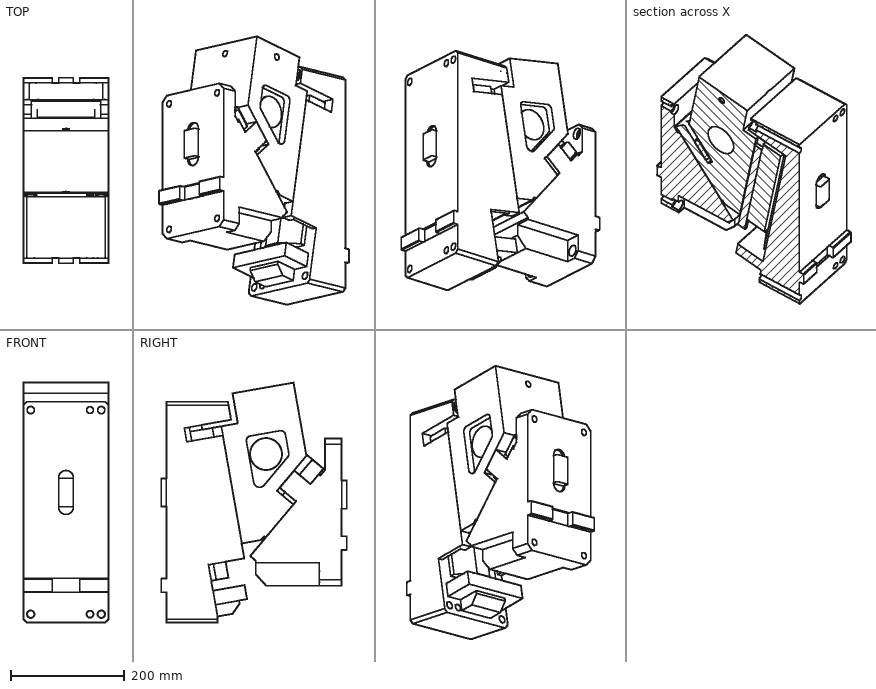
import cadquery as cq
import math


half_width = 75.0
cutter_length = 423.7

front_height = 390.0
front_chamfer = 6.0
front_tilt = math.radians(10)
seat_corner_y = 31.8
seat_corner_z = 343.2
overhang = 84.0
lug_depth = 64.5
front_rail_half = 65.5
front_neck_half = 55.0
front_lip = 15.5
front_lug_top = 24.5
front_lug_bottom = 245.0
hump_bottom = 273.7
hump_base = 9.0
hump_depth = 31.0
hump_base_half = 50.5
hump_top_half = 15.0
tab_top = 291.0
tab_bottom = 316.5
tab_depth = 56.8
tab_half = 63.5
tab_rib_depth = 42.5
tab_rib_bottom = 337.7
tab_rib_chamfer = 15.5
tab_rib_half = 34.0

rear_bottom = 65.0
rear_top = 325.0
rear_chamfer = 10.5
back_y = 309.5
shelf_y = 279.5
slope_top_z = 274.5
slope_angle = math.radians(40)
slope_length = 205.0
slope_nose = 13.0
nose_y = 157.5
nose_chamfer_y = 18.5
nose_chamfer_z = 20.5
relief_width = 8.5
relief_depth = 3.5
rear_lug_top = 39.5
rear_lug_bottom = 79.2
rear_lug_height = 37.5
rear_rail_half = 61.0
rear_neck_half = 50.5
rear_lip = 12.0
foot_y = 270.0
foot_height = 40.5
foot_core_half = 45.0

mid_top = -45.8
mid_bottom = 218.2
mid_front = 94.0
mid_back = 204.0
mid_ledge = 8.0
mid_clearance = 0.5
rear_rail_start = 4.0
rear_rail_radius = 5.0
shoulder_at = 86.5
pad_end = 162.7
pad_step = 3.5
bore_y = 176.0
bore_z = 297.5
bore_radius = 28.0
pocket_depth = 14.0
pocket_back = 173.7
pocket_front = 104.0
pocket_top = 34.0
pocket_slope_height = 61.5
pocket_corner_radius = 8.5
pocket_tip_radius = 10.5
pin_hole_u = 149.0
pin_hole_v = -26.3
pin_hole_radius = 5.5
pin_hole_depth = 17.0
drill_tip_depth = 3.5
flute_width = 13.5
flute_depth = 1.3

mount_proud = 9.5
mount_rail_length = 51.0
mount_rail_height = 25.0
mount_rail_chamfer = 1.3
groove_depth = 4.2
key_width = 26.3
key_height = 50.0
key_edge_radius = 2.0
key_slot_length = 77.5
key_slot_depth = 4.2
front_rail_z = 65.5
front_key_z = 229.5
rear_rail_z = 140.3
rear_key_z = 226.0

screw_x = 62.5
screw_radius = 6.5
locator_x = 42.5
locator_radius = 6.0
counterbore_radius = 10.5
front_screw_inset = 15.0
front_counterbore_y = 97.5
rear_screw_x = 59.0
rear_screw_inset = 16.0
rear_screw_radius = 5.5
rear_counterbore_radius = 9.7
rear_counterbore_depth = 7.0
foot_counterbore_depth = 15.0


def on_seat(u, v):
    """(Y, Z) of a point u behind the front block's tilted seat and v down along it."""
    c = math.cos(front_tilt)
    s = math.sin(front_tilt)
    return (seat_corner_y + u * c + v * s, seat_corner_z + u * s - v * c)


def on_slope(s, n):
    """(Y, Z) of a point s down the rear block's slope and n outward from it."""
    ca = math.cos(slope_angle)
    sa = math.sin(slope_angle)
    return (shelf_y - s * sa - n * ca, slope_top_z - s * ca + n * sa)


def crossing(first, second):
    """Point where two lines meet, each line given by two (Y, Z) points."""
    (ay, az), (by, bz) = first
    (cy, cz), (dy, dz) = second
    fraction = (((cy - ay) * (dz - cz) - (cz - az) * (dy - cy))
                / ((by - ay) * (dz - cz) - (bz - az) * (dy - cy)))
    return (ay + fraction * (by - ay), az + fraction * (bz - az))


def slope_line(n):
    """Line parallel to the slope at height n."""
    return (on_slope(0, n), on_slope(4.2, n))


def seat_line_at_u(u):
    """Line parallel to the seat at distance u behind it."""
    return (on_seat(u, 0), on_seat(u, 4.2))


def seat_line_at_v(v):
    """Line square to the seat at distance v down it."""
    return (on_seat(0, v), on_seat(4.2, v))


def prism(points, x_low, x_high):
    """Extrude a (Y, Z) outline between two X positions."""
    return cq.Workplane("YZ").workplane(offset=x_low).polyline(points).close().extrude(x_high - x_low)


def slab(frame, low, high, x_low, x_high):
    """Rectangular bar given by two opposite corners in one of the tilted frames."""
    corners = [low, (high[0], low[1]), high, (low[0], high[1])]
    return prism([frame(*corner) for corner in corners], x_low, x_high)


def central_bar(frame, low, high, half):
    """Bar centred on X = 0 with the given half width."""
    return slab(frame, low, high, -half, half)


def side_bars(frame, low, high, inner_half):
    """Mirrored pair of bars reaching from inner_half to both outer sides."""
    left = slab(frame, low, high, -half_width, -inner_half)
    return left.union(slab(frame, low, high, inner_half, half_width))


def y_cylinder(x, z, radius, y_low, y_high):
    """Round cutter along Y."""
    return cq.Workplane("XZ", origin=(x, y_low, z)).circle(radius).extrude(y_low - y_high)


def end_chamfer_envelope(bottom, top, chamfer):
    """Full-width block with the four edges along Y chamfered."""
    height = top - bottom
    block = cq.Workplane("XY").box(2 * half_width, 2 * cutter_length, height)
    return block.edges("|Y").chamfer(chamfer).translate((0, 0, (top + bottom) / 2))


def add_mounting_face(body, rail_z, key_z):
    """Put two side rails, a groove between them and a key in a round-ended slot on the face Y = 0."""
    gap = 2 * (half_width - mount_rail_length)
    groove = cq.Workplane("XY").box(gap, 2 * groove_depth, mount_rail_height).translate((0, 0, rail_z))
    slot = (cq.Workplane("XZ", origin=(0, key_slot_depth, key_z))
            .slot2D(key_slot_length, key_width, 90).extrude(key_slot_depth))
    body = body.cut(groove).cut(slot)

    rail = (cq.Workplane("XY").box(mount_rail_length, mount_proud, mount_rail_height)
            .faces("<Y").edges("|X").chamfer(mount_rail_chamfer))
    rail_x = half_width - mount_rail_length / 2
    for x in (-rail_x, rail_x):
        body = body.union(rail.translate((x, -mount_proud / 2, rail_z)))

    key_length = mount_proud + key_slot_depth
    key = (cq.Workplane("XY").box(key_width, key_length, key_height)
           .faces("<Y").edges("|Z").fillet(key_edge_radius))
    return body.union(key.translate((0, key_length / 2 - mount_proud, key_z)))


def front_hump():
    """Central guide on the seat: straight base, then sloping sides."""
    section = [(-hump_base_half, 0), (hump_base_half, 0), (hump_base_half, hump_base),
               (hump_top_half, hump_depth), (-hump_top_half, hump_depth), (-hump_base_half, hump_base)]
    top_y, top_z = on_seat(0, 0)
    up_seat = (0, -math.sin(front_tilt), math.cos(front_tilt))
    plane = cq.Plane(origin=(0, top_y, top_z), xDir=(1, 0, 0), normal=up_seat)
    return cq.Workplane(plane).polyline(section).close().extrude(-hump_bottom)


def make_front_block():
    v_at_top = (seat_corner_z + overhang * math.sin(front_tilt) - front_height) / math.cos(front_tilt)
    seat_end = on_seat(0, tab_rib_bottom)
    body = prism([(0, 0), (0, front_height), on_seat(overhang, v_at_top), on_seat(overhang, 0),
                  on_seat(0, 0), seat_end, (seat_end[0], 0)], -half_width, half_width)

    lug_low = (0, front_lug_top)
    lug_high = (lug_depth, front_lug_bottom)
    lip_low = (lug_depth - front_lip, front_lug_top)
    body = body.union(side_bars(on_seat, lug_low, lug_high, front_rail_half))
    body = body.union(side_bars(on_seat, lip_low, lug_high, front_neck_half))
    body = body.union(front_hump())

    body = body.union(central_bar(on_seat, (0, tab_top), (tab_depth, tab_bottom), tab_half))
    rib = [(0, tab_bottom), (tab_rib_depth, tab_bottom), (tab_rib_depth, tab_rib_bottom - tab_rib_chamfer),
           (tab_rib_depth - tab_rib_chamfer, tab_rib_bottom), (0, tab_rib_bottom)]
    body = body.union(prism([on_seat(*point) for point in rib], -tab_rib_half, tab_rib_half))
    body = body.intersect(end_chamfer_envelope(0, front_height, front_chamfer))

    top_screw_z = front_height - front_screw_inset
    for z in (front_screw_inset, top_screw_z):
        for x in (-screw_x, screw_x):
            body = body.cut(y_cylinder(x, z, screw_radius, 0, cutter_length))
        body = body.cut(y_cylinder(locator_x, z, locator_radius, 0, cutter_length))
    for x in (-screw_x, screw_x):
        body = body.cut(y_cylinder(x, top_screw_z, counterbore_radius, front_counterbore_y, cutter_length))
    return add_mounting_face(body, front_rail_z, front_key_z)


def make_rear_block():
    nose_top = on_slope(slope_length, 0)
    nose_under = (nose_y, on_slope(slope_length, -slope_nose)[1])
    body = prism([(back_y, rear_bottom), (back_y, rear_top), (shelf_y, rear_top), on_slope(0, 0),
                  nose_top, nose_under, (nose_y, rear_bottom + nose_chamfer_z),
                  (nose_y + nose_chamfer_y, rear_bottom)], -half_width, half_width)

    drop = relief_depth / math.sin(slope_angle)
    inner_y = shelf_y - relief_width
    inner_z = slope_top_z - relief_width / math.tan(slope_angle)
    relief = [(shelf_y, slope_top_z), (shelf_y, slope_top_z - drop), (inner_y, inner_z - drop),
              (inner_y, inner_z)]
    body = body.cut(prism(relief, -half_width, half_width))

    lug_low = (rear_lug_top, 0)
    lug_high = (rear_lug_bottom, rear_lug_height)
    lip_low = (rear_lug_top, rear_lug_height - rear_lip)
    body = body.union(side_bars(on_slope, lug_low, lug_high, rear_rail_half))
    body = body.union(side_bars(on_slope, lip_low, lug_high, rear_neck_half))
    body = body.intersect(end_chamfer_envelope(rear_bottom, rear_top, rear_chamfer))

    recess = [(foot_y, rear_bottom), (foot_y, rear_bottom + foot_height),
              (0, rear_bottom + foot_height), (0, rear_bottom)]
    for side in (-1, 1):
        x_low, x_high = sorted((side * foot_core_half, side * half_width))
        body = body.cut(prism(recess, x_low, x_high))

    top_z = rear_top - rear_screw_inset
    bottom_z = rear_bottom + rear_screw_inset
    for x in (-rear_screw_x, rear_screw_x):
        for z, face_y, depth in ((top_z, shelf_y, rear_counterbore_depth),
                                 (bottom_z, foot_y, foot_counterbore_depth)):
            body = body.cut(y_cylinder(x, z, rear_screw_radius, face_y, back_y))
            body = body.cut(y_cylinder(x, z, rear_counterbore_radius, face_y, face_y + depth))

    turned = body.rotate((0, 0, 0), (0, 0, 1), 180).translate((0, back_y, 0))
    turned = add_mounting_face(turned, rear_rail_z, rear_key_z)
    return turned.translate((0, -back_y, 0)).rotate((0, 0, 0), (0, 0, 1), 180)


def side_pocket():
    """Four-sided rounded pocket around the bore, open at the -X side."""
    tip = crossing(seat_line_at_u(pocket_front), slope_line(pocket_slope_height))
    back_corner = crossing(seat_line_at_u(pocket_back), slope_line(pocket_slope_height))
    outline = [on_seat(pocket_back, pocket_top), on_seat(pocket_front, pocket_top), tip, back_corner]
    pocket = prism(outline, -half_width, -half_width + pocket_depth)
    pocket = pocket.edges("|X").edges("<Z").fillet(pocket_tip_radius)
    for corner in (outline[0], outline[1], back_corner):
        nearest = cq.selectors.NearestToPointSelector((-half_width + pocket_depth / 2, *corner))
        pocket = pocket.edges("|X").edges(nearest).fillet(pocket_corner_radius)
    return pocket


def pin_hole(mouth, inward, x_direction):
    """Blind hole with a conical tip; inward is its drilling direction."""
    section = [(0, 0), (pin_hole_radius, 0), (pin_hole_radius, pin_hole_depth),
               (0, pin_hole_depth + drill_tip_depth)]
    normal = cq.Vector(*x_direction).cross(cq.Vector(*inward))
    plane = cq.Plane(origin=mouth, xDir=x_direction, normal=normal)
    return cq.Workplane(plane).polyline(section).close().revolve(360, (0, 0), (0, 1))


def front_flute():
    """Shallow round groove down the upper front face; its axis lies in front of the face."""
    radius = (flute_width ** 2 / 4 + flute_depth ** 2) / (2 * flute_depth)
    axis_y, axis_z = on_seat(mid_front + flute_depth - radius, mid_top)
    down_seat = (0, math.sin(front_tilt), -math.cos(front_tilt))
    plane = cq.Plane(origin=(0, axis_y, axis_z), xDir=(1, 0, 0), normal=down_seat)
    return cq.Workplane(plane).circle(radius).extrude(mid_ledge - mid_top)


def make_middle_body():
    face_u = lug_depth + mid_clearance
    face_n = rear_lug_height + mid_clearance
    body = prism([on_seat(mid_back, mid_top), on_seat(mid_front, mid_top), on_seat(mid_front, mid_ledge),
                  on_seat(face_u, mid_ledge), on_seat(face_u, mid_bottom),
                  crossing(seat_line_at_v(mid_bottom), slope_line(pad_step)),
                  on_slope(pad_end, pad_step), on_slope(pad_end, 0), on_slope(shoulder_at, 0),
                  on_slope(shoulder_at, face_n),
                  crossing(seat_line_at_u(mid_back), slope_line(face_n))], -half_width, half_width)

    neck_u = lug_depth - front_lip
    body = body.union(central_bar(on_seat, (hump_base, mid_ledge), (neck_u, mid_bottom), front_rail_half))
    body = body.union(central_bar(on_seat, (neck_u, mid_ledge), (face_u, mid_bottom), front_neck_half))
    body = body.cut(front_hump())

    neck_n = rear_lug_height - rear_lip
    head = central_bar(on_slope, (rear_rail_start, 0), (shoulder_at, neck_n), rear_rail_half)
    body = body.union(head.edges("|X").edges(">Z").fillet(rear_rail_radius))
    body = body.union(central_bar(on_slope, (rear_rail_start, 0), (shoulder_at, face_n), rear_neck_half))

    bore = (cq.Workplane("YZ", origin=(-half_width, bore_y, bore_z))
            .circle(bore_radius).extrude(2 * half_width))
    body = body.cut(bore).cut(side_pocket()).cut(side_pocket().mirror("YZ"))

    side_mouth = (-half_width, *on_seat(pin_hole_u, pin_hole_v))
    back_mouth = (0, *on_seat(mid_back, pin_hole_v))
    toward_seat = (0, -math.cos(front_tilt), -math.sin(front_tilt))
    body = body.cut(pin_hole(side_mouth, (1, 0, 0), (0, 1, 0)))
    body = body.cut(pin_hole(back_mouth, toward_seat, (1, 0, 0)))
    return body.cut(front_flute())


front_block = make_front_block().solids()
middle_body = make_middle_body().solids()
rear_block = make_rear_block().solids()
result = cq.Compound.makeCompound([front_block.val(), middle_body.val(), rear_block.val()])